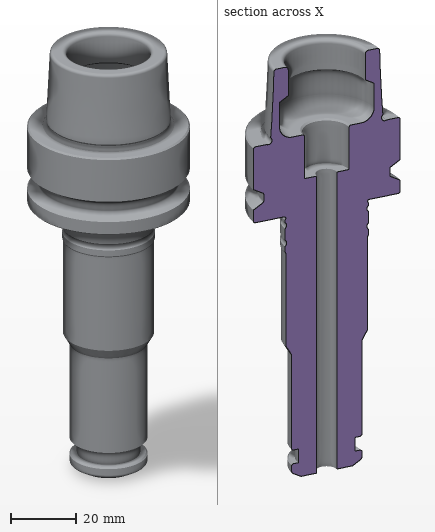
import cadquery as cq
import math

STEEP = math.radians(60)
SHALLOW = math.radians(30)

SHANK_LENGTH = 25.0
GAUGE_DIAMETER = 38.01
GAUGE_HEIGHT = 5.0
TAPER_RATIO = 9.98
TAPER_START = 2.0
TIP_ROUND = 1.0
NECK_DIAMETER = 37.5
NECK_CHAMFER_HEIGHT = 0.6
NECK_FILLET = 1.0
RECESS_DIAMETER = 40.4
RECESS_DEPTH = 0.15

FLANGE_DIAMETER = 50.0
FLANGE_THICKNESS = 26.0
GRIP_DIAMETER = 43.0
GRIP_CENTER = -18.0
GRIP_FLOOR_WIDTH = 2.85
GRIP_FILLET = 0.5
EDGE_CHAMFER = 0.5

LAND_DIAMETER = 28.5
LAND_END = -38.0
RELIEF_WIDTH = 1.0
RELIEF_DEPTH = 0.25
SEAL_WIDTH = 2.1
SEAL_DEPTH = 0.5
SEAL_CENTERS = (-28.95, -34.95)

UPPER_SHAFT_DIAMETER = 28.0
UPPER_SHAFT_END = -70.05
LOWER_SHAFT_DIAMETER = 24.0
LOWER_SHAFT_END = -106.0

KNOB_NECK_DIAMETER = 19.5
KNOB_TOP = -110.5
KNOB_TOP_CHAMFER = 0.5
KNOB_ROUND = 1.0
TIP_DIAMETER = 17.6
BOTTOM = -115.5

MOUTH_DIAMETER = 26.0
MOUTH_ROUND = 1.25
MOUTH_DEPTH = 10.0
CLAMP_DIAMETER = 32.0
CAVITY_FLOOR = 0.75
CAVITY_FILLET = 4.25
TUBE_BORE_DIAMETER = 14.92
TUBE_BORE_MOUTH = 16.0
TUBE_BORE_DEPTH = 15.0
THROUGH_DIAMETER = 6.8


def taper_radius(z):
    """Outer radius of the taper at height z."""
    return (GAUGE_DIAMETER - (z - GAUGE_HEIGHT) / TAPER_RATIO) / 2


def round_groove(outline, radius, top, width, depth):
    """Add a concave arc of the given width and depth, starting at height top."""
    return (
        outline.lineTo(radius, top)
        .threePointArc((radius - depth, top - width / 2), (radius, top - width))
    )


def add_shank(outline):
    """Taper with a rounded tip, then the neck blended into a shallow recess in the flange face."""
    tip_radius = taper_radius(SHANK_LENGTH)
    round_bottom = SHANK_LENGTH - TIP_ROUND
    neck_radius = NECK_DIAMETER / 2
    return (
        outline.lineTo(tip_radius - TIP_ROUND, SHANK_LENGTH)
        .radiusArc((taper_radius(round_bottom), round_bottom), TIP_ROUND)
        .lineTo(taper_radius(TAPER_START), TAPER_START)
        .lineTo(neck_radius, TAPER_START - NECK_CHAMFER_HEIGHT)
        .lineTo(neck_radius, NECK_FILLET - RECESS_DEPTH)
        .radiusArc((neck_radius + NECK_FILLET, -RECESS_DEPTH), -NECK_FILLET)
        .lineTo(RECESS_DIAMETER / 2, -RECESS_DEPTH)
        .lineTo(RECESS_DIAMETER / 2, 0)
    )


def add_flange(outline):
    """Chamfered flange with a V-sided gripper groove."""
    rim = FLANGE_DIAMETER / 2
    grip_radius = GRIP_DIAMETER / 2
    half_floor = GRIP_FLOOR_WIDTH / 2
    tangent = GRIP_FILLET * math.tan(STEEP / 2)
    fillet_radius = grip_radius + tangent * math.cos(SHALLOW)
    fillet_reach = half_floor + tangent * math.sin(SHALLOW)
    half_mouth = half_floor + (rim - grip_radius) * math.tan(SHALLOW)
    return (
        outline.lineTo(rim - EDGE_CHAMFER, 0)
        .lineTo(rim, -EDGE_CHAMFER)
        .lineTo(rim, GRIP_CENTER + half_mouth)
        .lineTo(fillet_radius, GRIP_CENTER + fillet_reach)
        .radiusArc((grip_radius, GRIP_CENTER + half_floor - tangent), -GRIP_FILLET)
        .lineTo(grip_radius, GRIP_CENTER - half_floor + tangent)
        .radiusArc((fillet_radius, GRIP_CENTER - fillet_reach), -GRIP_FILLET)
        .lineTo(rim, GRIP_CENTER - half_mouth)
        .lineTo(rim, -FLANGE_THICKNESS + EDGE_CHAMFER)
        .lineTo(rim - EDGE_CHAMFER, -FLANGE_THICKNESS)
    )


def add_shaft(outline):
    """Grooved seal land followed by the two plain shaft steps."""
    land = LAND_DIAMETER / 2
    upper = UPPER_SHAFT_DIAMETER / 2
    lower = LOWER_SHAFT_DIAMETER / 2
    outline = round_groove(outline, land, -FLANGE_THICKNESS, RELIEF_WIDTH, RELIEF_DEPTH)
    for center in SEAL_CENTERS:
        outline = round_groove(outline, land, center + SEAL_WIDTH / 2, SEAL_WIDTH, SEAL_DEPTH)
    return (
        outline.lineTo(land, LAND_END)
        .lineTo(upper, LAND_END - (land - upper) * math.tan(STEEP))
        .lineTo(upper, UPPER_SHAFT_END)
        .lineTo(lower, UPPER_SHAFT_END - (upper - lower) * math.tan(STEEP))
        .lineTo(lower, LOWER_SHAFT_END + EDGE_CHAMFER)
        .lineTo(lower - EDGE_CHAMFER, LOWER_SHAFT_END)
    )


def add_knob(outline):
    """Narrow neck and a knob whose side rounds into a shallow end cone."""
    neck = KNOB_NECK_DIAMETER / 2
    side = LOWER_SHAFT_DIAMETER / 2
    tip = TIP_DIAMETER / 2
    cone_top = BOTTOM + (side - tip) * math.tan(SHALLOW)
    tangent = KNOB_ROUND * math.tan(STEEP / 2)
    round_end = (side - tangent * math.cos(SHALLOW), cone_top - tangent * math.sin(SHALLOW))
    return (
        outline.lineTo(neck, LOWER_SHAFT_END)
        .lineTo(neck, KNOB_TOP)
        .lineTo(side - KNOB_TOP_CHAMFER, KNOB_TOP)
        .lineTo(side, KNOB_TOP - KNOB_TOP_CHAMFER)
        .lineTo(side, cone_top + tangent)
        .radiusArc(round_end, KNOB_ROUND)
        .lineTo(tip, BOTTOM)
        .lineTo(0, BOTTOM)
    )


def make_body():
    outline = cq.Workplane("XZ").moveTo(0, SHANK_LENGTH)
    for add_section in (add_shank, add_flange, add_shaft, add_knob):
        outline = add_section(outline)
    return outline.close().revolve(360, (0, 0, 0), (0, 1, 0))


def make_cavity():
    """Rounded mouth, wider clamping chamber, tube bore and through hole."""
    mouth = MOUTH_DIAMETER / 2
    clamp = CLAMP_DIAMETER / 2
    tube = TUBE_BORE_DIAMETER / 2
    tube_mouth = TUBE_BORE_MOUTH / 2
    hole = THROUGH_DIAMETER / 2
    mouth_bottom = SHANK_LENGTH - MOUTH_DEPTH
    tube_bottom = CAVITY_FLOOR - TUBE_BORE_DEPTH
    return (
        cq.Workplane("XZ")
        .moveTo(0, SHANK_LENGTH)
        .lineTo(mouth + MOUTH_ROUND, SHANK_LENGTH)
        .radiusArc((mouth, SHANK_LENGTH - MOUTH_ROUND), -MOUTH_ROUND)
        .lineTo(mouth, mouth_bottom)
        .lineTo(clamp, mouth_bottom - (clamp - mouth) * math.tan(SHALLOW))
        .lineTo(clamp, CAVITY_FLOOR + CAVITY_FILLET)
        .radiusArc((clamp - CAVITY_FILLET, CAVITY_FLOOR), CAVITY_FILLET)
        .lineTo(tube_mouth, CAVITY_FLOOR)
        .lineTo(tube, CAVITY_FLOOR - (tube_mouth - tube))
        .lineTo(tube, tube_bottom)
        .lineTo(hole, tube_bottom)
        .lineTo(hole, BOTTOM)
        .lineTo(0, BOTTOM)
        .close()
        .revolve(360, (0, 0, 0), (0, 1, 0))
    )


result = make_body().cut(make_cavity())